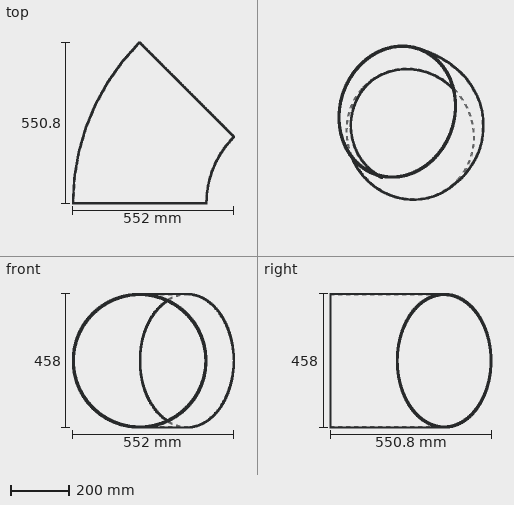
import cadquery as cq

outer_diameter = 458.0
wall_thickness = 4.0
bend_radius = 550.0
bend_angle = 45.0

outer_radius = outer_diameter / 2
inner_radius = outer_radius - wall_thickness


def elbow():
    """Revolve the ring-shaped pipe section about the bend axis, parallel to Z."""
    section = cq.Workplane("XZ").circle(outer_radius).circle(inner_radius)
    axis_start = (bend_radius, outer_radius)
    axis_end = (bend_radius, -outer_radius)
    return section.revolve(bend_angle, axis_start, axis_end)


result = elbow()